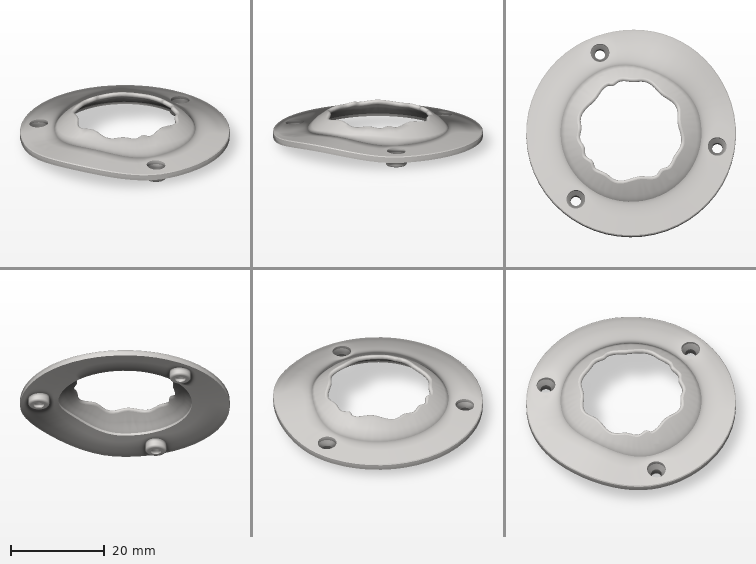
import cadquery as cq
import math

flange_radius = 22.35
flange_bottom = 1.45
flange_edge_thickness = 1.4
flange_top_rise = 0.55
foot_rise = 0.7
edge_chamfer = 0.2

dome_base_radius = 15.05
dome_base_height = flange_bottom + flange_edge_thickness + flange_top_rise
dome_base_slope = 48.0
dome_arc_radius = 16.1
dome_wall = 1.0
lip_radius = dome_wall / 2

wave_angle = -58.0
wave_half_angle = 50.0
wave_height = 1.55

opening_extremes = [
    (-4, 10.82), (18, 9.97), (44, 11.0), (56.5, 10.55), (68, 10.95), (79, 10.55),
    (88, 11.05), (98, 10.55), (106, 11.1), (118, 10.75), (132, 11.2), (158, 10.2),
    (177, 11.05), (185.5, 10.55), (194.5, 11.1), (208, 10.75), (222, 11.0), (247, 10.0),
    (267, 10.82), (288, 9.97), (312, 10.9), (327, 10.45), (340, 10.85), (350.5, 10.35),
]

angle_step = 2.5
dome_steps = 4
lip_steps = 6

boss_count = 3
boss_circle_radius = 18.6
first_boss_angle = -10.6
boss_diameter = 4.47
boss_edge_fillet = 0.45
screw_diameter = 2.25
sink_diameter = 4.0
sink_straight_depth = 0.45
sink_cone_depth = 0.9


def polar(radius, angle):
    """Plan position of a point given by radius and angle in degrees."""
    return (radius * math.cos(math.radians(angle)), radius * math.sin(math.radians(angle)))


flange_slope = flange_top_rise / (flange_radius - dome_base_radius)


def wave_lift(radius, angle):
    """Lift of the flange; it fades inwards so that the crest of the top stays level."""
    offset = (angle - wave_angle + 180) % 360 - 180
    if abs(offset) >= wave_half_angle:
        return 0.0
    crest = wave_height - flange_slope * (flange_radius - radius)
    return crest * math.cos(math.pi / 2 * offset / wave_half_angle) ** 2


def opening_radius(angle):
    """Radius of the opening, easing from each extreme to the next."""
    first_angle, first_radius = opening_extremes[0]
    angle = first_angle + (angle - first_angle) % 360
    closing = (first_angle + 360, first_radius)
    following = opening_extremes[1:] + [closing]
    for (a0, r0), (a1, r1) in zip(opening_extremes, following):
        if angle <= a1:
            ease = (1 - math.cos(math.pi * (angle - a0) / (a1 - a0))) / 2
            return r0 + (r1 - r0) * ease


arc_center_radius = dome_base_radius - dome_arc_radius * math.sin(math.radians(dome_base_slope))
arc_center_height = dome_base_height - dome_arc_radius * math.cos(math.radians(dome_base_slope))


def arc_point(arc_radius, slope):
    """Radius and height of the point with this slope (radians) on an arc of the dome."""
    return (
        arc_center_radius + arc_radius * math.sin(slope),
        arc_center_height + arc_radius * math.cos(slope),
    )


def radial_section(angle):
    """Stretches of the closed section at one angle, each a row of (radius, height) points."""
    edge_top = flange_bottom + flange_edge_thickness
    edge_lift = wave_lift(flange_radius, angle)
    flange_points = [
        (flange_radius, flange_bottom + edge_lift),
        (flange_radius, edge_top - edge_chamfer + edge_lift),
        (flange_radius - edge_chamfer, edge_top + edge_lift),
    ]

    base_height = dome_base_height + wave_lift(dome_base_radius, angle)
    base_slope = math.acos((base_height - arc_center_height) / dome_arc_radius)
    middle_radius = dome_arc_radius - lip_radius
    lip_center_radius = opening_radius(angle) + lip_radius
    lip_slope = math.asin((lip_center_radius - arc_center_radius) / middle_radius)
    slopes = [
        base_slope + (lip_slope - base_slope) * step / dome_steps for step in range(dome_steps + 1)
    ]
    outer_points = [arc_point(dome_arc_radius, slope) for slope in slopes]
    inner_points = [arc_point(dome_arc_radius - dome_wall, slope) for slope in reversed(slopes)]

    center_radius, center_height = arc_point(middle_radius, lip_slope)
    lip_points = []
    for step in range(1, lip_steps):
        turn = lip_slope - math.pi * step / lip_steps
        lip_points.append((
            center_radius + lip_radius * math.sin(turn),
            center_height + lip_radius * math.cos(turn),
        ))

    foot_radius = inner_points[-1][0]
    foot = (foot_radius, flange_bottom + foot_rise + wave_lift(foot_radius, angle))
    rim = [flange_points[-1], outer_points[0]]
    lip_points = outer_points[-1:] + lip_points + inner_points[:1]
    return [
        flange_points[:2], flange_points[1:], rim, outer_points, lip_points, inner_points,
        [inner_points[-1], foot], [foot, flange_points[0]],
    ]


def ring_wire(angles, ring_points):
    """Closed curve through one (radius, height) point at each angle."""
    points = [
        cq.Vector(*polar(radius, angle), height)
        for angle, (radius, height) in zip(angles, ring_points)
    ]
    return cq.Wire.assembleEdges([cq.Edge.makeSpline(points, periodic=True)])


def make_body():
    """Solid enclosed by one face for each stretch of the radial section."""
    angles = [angle_step * step for step in range(round(360 / angle_step))]
    sections = [radial_section(angle) for angle in angles]
    faces = []
    for stretch in zip(*sections):
        rings = [ring_wire(angles, ring_points) for ring_points in zip(*stretch)]
        faces.extend(cq.occ_impl.shapes.loft(*rings).Faces())
    solid = cq.Solid.makeSolid(cq.Shell.makeShell(faces))
    return cq.Workplane(solid.fix())


boss_centers = [
    polar(boss_circle_radius, first_boss_angle + 360 * i / boss_count) for i in range(boss_count)
]


def make_bosses():
    return (
        cq.Workplane("XY")
        .pushPoints(boss_centers)
        .circle(boss_diameter / 2)
        .extrude(flange_bottom + flange_edge_thickness)
        .faces("<Z").edges().fillet(boss_edge_fillet)
    )


def make_screw_hole():
    """Through hole with a straight-rimmed countersink."""
    surface = dome_base_height
    cone_top = flange_bottom + flange_edge_thickness - sink_straight_depth
    return (
        cq.Workplane("XZ")
        .polyline([
            (0, 0),
            (screw_diameter / 2, 0),
            (screw_diameter / 2, cone_top - sink_cone_depth),
            (sink_diameter / 2, cone_top),
            (sink_diameter / 2, surface),
            (0, surface),
        ])
        .close()
        .revolve(360, (0, 0, 0), (0, 1, 0))
    )


result = make_body().union(make_bosses())
for x, y in boss_centers:
    result = result.cut(make_screw_hole().translate((x, y, 0)))